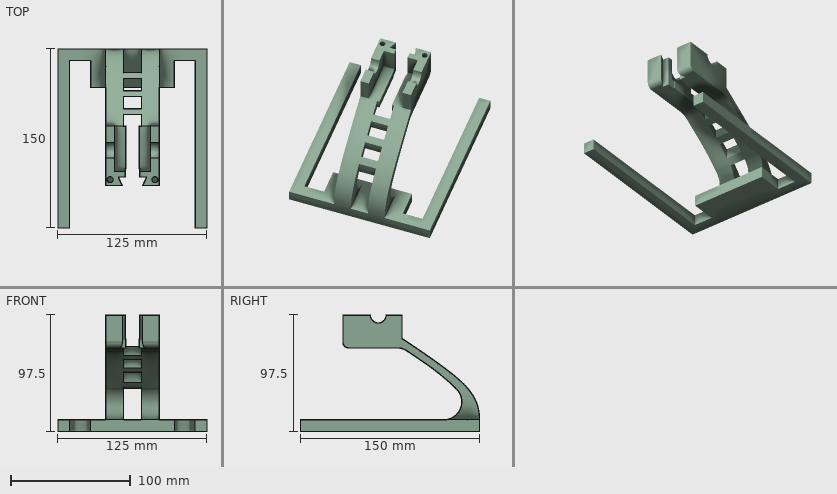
import cadquery as cq
import math


base_width = 125.0
base_length = 150.0
base_height = 10.0
bar_width = 10.0
pad_width = 70.0
pad_length = 32.5

arm_width = 45.0
lower_back_point = (10.0, 36.3)
upper_back_point = (30.0, 53.8)
back_curve_end_height = 78.0
back_curve_end_angle = 34.0
foot_radius = 15.0
foot_end = 30.0
underside_start_angle = 45.0
underside_middle = (36.0, 50.3)
underside_end_angle = 35.0
neck_radius = 15.0
neck_end = 69.0

slot_width = 15.0
rib_thickness = 5.0
rib_pitch = 15.0
first_rib = 20.0
rib_count = 3

total_height = 97.5
jaw_height = 27.5
jaw_back = 64.8
jaw_front = 114.5
jaw_bottom = total_height - jaw_height
nose_radius = 5.0

ledge_gap = 11.0
ledge_thickness = 7.5
ledge_front = 100.0
pocket_half_width = 15.0
pocket_front = 102.5
tip_gap = 12.0
tip_front = 107.4
dovetail_root_gap = 23.4
dovetail_front_gap = 17.0

notch_radius = 6.5
notch_distance = 84.8
hole_diameter = 5.0
hole_depth = 10.0
hole_x = 18.75
hole_distance = 109.5


def box(x_min, x_max, back, front, bottom, top):
    """Box between two X values, two distances from the back face and two heights."""
    size = (x_max - x_min, front - back, top - bottom)
    return cq.Workplane("XY").box(*size, centered=False).translate((x_min, -front, bottom))


def side_plane(x):
    """Sketch plane whose first axis is the distance from the back and second axis the height."""
    return cq.Workplane(cq.Plane(origin=(x, 0, 0), xDir=(0, -1, 0), normal=(-1, 0, 0)))


def direction(degrees):
    """Unit vector at an angle from the forward direction."""
    angle = math.radians(degrees)
    return (math.cos(angle), math.sin(angle))


def on_circle(center, radius, degrees):
    """Point of a circle at an angle from the forward direction."""
    unit = direction(degrees)
    return (center[0] + radius * unit[0], center[1] + radius * unit[1])


def make_base():
    """U-shaped frame with a wider pad under the arm."""
    half = base_width / 2
    base = box(-half, half, 0, bar_width, 0, base_height)
    base = base.union(box(-half, -half + bar_width, 0, base_length, 0, base_height))
    base = base.union(box(half - bar_width, half, 0, base_length, 0, base_height))
    return base.union(box(-pad_width / 2, pad_width / 2, 0, pad_length, 0, base_height))


def make_arm():
    """Curved arm of nearly even thickness, with a ladder of openings along its middle."""
    foot_center = (foot_end, base_height + foot_radius)
    neck_center = (neck_end, jaw_bottom - neck_radius)
    foot_top_angle = underside_start_angle + 90
    foot_bottom_angle = 270
    neck_start_angle = underside_end_angle + 90
    neck_end_angle = 90
    underside_start = on_circle(foot_center, foot_radius, foot_top_angle)
    underside_end = on_circle(neck_center, neck_radius, neck_start_angle)
    foot_middle = on_circle(foot_center, foot_radius, (foot_top_angle + foot_bottom_angle) / 2)
    neck_middle = on_circle(neck_center, neck_radius, (neck_start_angle + neck_end_angle) / 2)
    back_curve_end = (jaw_back, back_curve_end_height)

    arm = (
        side_plane(arm_width / 2)
        .moveTo(0, base_height)
        .spline(
            [lower_back_point, upper_back_point, back_curve_end],
            tangents=[direction(90), direction(back_curve_end_angle)],
            includeCurrent=True,
        )
        .lineTo(jaw_back, jaw_bottom)
        .lineTo(neck_end, jaw_bottom)
        .threePointArc(neck_middle, underside_end)
        .spline(
            [underside_middle, underside_start],
            tangents=[direction(underside_end_angle + 180), direction(underside_start_angle + 180)],
            includeCurrent=True,
        )
        .threePointArc(foot_middle, (foot_end, base_height))
        .close()
        .extrude(arm_width)
    )

    rib_bottom = base_height + foot_radius
    half = slot_width / 2
    openings = box(-half, half, 0, neck_end, base_height, total_height)
    for index in range(rib_count):
        rib_back = first_rib + index * rib_pitch
        openings = openings.cut(
            box(-half, half, rib_back, rib_back + rib_thickness, rib_bottom, total_height)
        )
    return arm.cut(openings)


def make_jaw():
    """Jaw on the +X side: pocketed block with a ledge, a dovetail notch, a shaft notch and a hole."""
    outer = arm_width / 2
    jaw = (
        cq.Workplane("XY")
        .workplane(offset=jaw_bottom)
        .polyline([
            (outer, -jaw_back),
            (ledge_gap / 2, -jaw_back),
            (ledge_gap / 2, -ledge_front),
            (tip_gap / 2, -ledge_front),
            (tip_gap / 2, -tip_front),
            (dovetail_root_gap / 2, -tip_front),
            (dovetail_front_gap / 2, -jaw_front),
            (outer, -jaw_front),
        ])
        .close()
        .extrude(jaw_height)
    )
    jaw = jaw.cut(
        box(0, pocket_half_width, jaw_back, pocket_front, jaw_bottom + ledge_thickness, total_height)
    )
    shaft_notch = (
        side_plane(outer)
        .center(notch_distance, total_height)
        .circle(notch_radius)
        .extrude(outer)
    )
    hole = (
        cq.Workplane("XY")
        .workplane(offset=total_height)
        .center(hole_x, -hole_distance)
        .circle(hole_diameter / 2)
        .extrude(-hole_depth)
    )
    rounded_envelope = (
        box(0, outer, jaw_back, jaw_front, jaw_bottom, total_height)
        .faces("<Y").edges("<Z").fillet(nose_radius)
    )
    return jaw.cut(shaft_notch).cut(hole).intersect(rounded_envelope)


jaw = make_jaw()
result = make_base().union(make_arm()).union(jaw).union(jaw.mirror("YZ"))